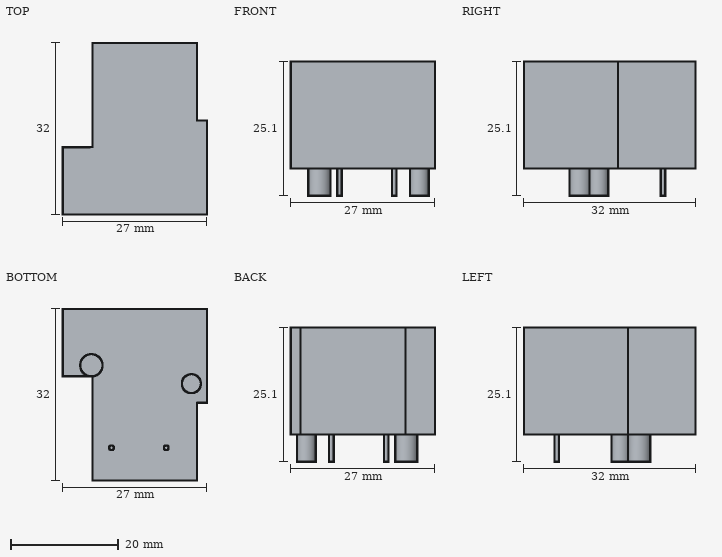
import cadquery as cq

WIDTH = 27.0
DEPTH = 32.05
HEIGHT = 20.0
LEFT_STEP_WIDTH = 5.58
LEFT_STEP_DEPTH = 12.6
RIGHT_STEP_WIDTH = 1.9
RIGHT_STEP_DEPTH = 17.55

TOTAL_HEIGHT = 25.1
PIN_LENGTH = TOTAL_HEIGHT - HEIGHT
LEFT_POST_DIAMETER = 4.17
LEFT_POST_CENTER = (5.4, 10.55)
RIGHT_POST_DIAMETER = 3.55
RIGHT_POST_CENTER = (24.05, 13.97)
THIN_PIN_DIAMETER = 0.9
THIN_PIN_Y = 25.93
THIN_PIN_X_POSITIONS = (9.15, 19.35)


def make_housing():
    """Block that narrows on both sides toward the back."""
    back_right = WIDTH - RIGHT_STEP_WIDTH
    outline = [
        (0, 0),
        (WIDTH, 0),
        (WIDTH, RIGHT_STEP_DEPTH),
        (back_right, RIGHT_STEP_DEPTH),
        (back_right, DEPTH),
        (LEFT_STEP_WIDTH, DEPTH),
        (LEFT_STEP_WIDTH, LEFT_STEP_DEPTH),
        (0, LEFT_STEP_DEPTH),
    ]
    return cq.Workplane("XY").polyline(outline).close().extrude(HEIGHT)


def make_round_pin(center, diameter):
    """Cylinder from the housing underside down to the pin tip."""
    return cq.Workplane("XY").center(*center).circle(diameter / 2).extrude(-PIN_LENGTH)


housing = make_housing()
left_post = make_round_pin(LEFT_POST_CENTER, LEFT_POST_DIAMETER)
right_post = make_round_pin(RIGHT_POST_CENTER, RIGHT_POST_DIAMETER)
thin_pins = [make_round_pin((x, THIN_PIN_Y), THIN_PIN_DIAMETER) for x in THIN_PIN_X_POSITIONS]

result = cq.Compound.makeCompound(
    [housing.val(), left_post.val(), right_post.val(), *[pin.val() for pin in thin_pins]]
)